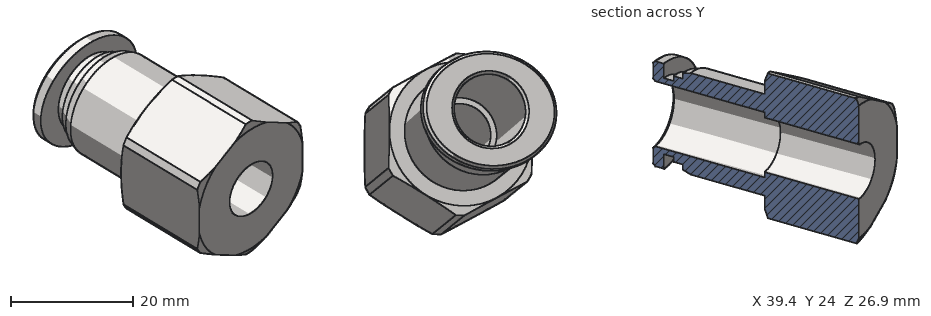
import cadquery as cq

TOTAL_LENGTH = 39.4
RING_END = 2.15
NECK_END = 3.98
COLLAR_END = 5.7
TAPER_END = 7.3
HEX_START = 21.35

RING_HALF_WIDTH = 11.2
RING_HALF_HEIGHT = 9.77
RING_CHAMFER = 0.47

NECK_RADIUS = 7.1
COLLAR_RADIUS = 8.0
TAPER_RADIUS = 8.95
BODY_RADIUS = 9.45

HEX_ACROSS_FLATS = 24.0
HEX_CORNER_DIAMETER = 26.9
FRONT_FACE_RADIUS = 11.98
FRONT_BEVEL_LENGTH = 0.6
REAR_FACE_RADIUS = 12.3
REAR_BEVEL_LENGTH = 0.5

SOCKET_RADIUS = 6.0
SOCKET_DEPTH = HEX_START
MOUTH_CHAMFER = 0.47
PASSAGE_RADIUS = 5.0


def revolve_about_x(points):
    """Revolve a closed (x, radius) outline about the X axis."""
    return cq.Workplane("XY").polyline(points).close().revolve(360, (0, 0, 0), (1, 0, 0))


def make_release_ring():
    """Oval plate with a chamfered outer edge on its front face."""
    ring = cq.Workplane("YZ").ellipse(RING_HALF_WIDTH, RING_HALF_HEIGHT).extrude(RING_END)
    return ring.faces("<X").chamfer(RING_CHAMFER)


def make_sleeve():
    """Stepped round sleeve running from the ring into the hexagon."""
    return revolve_about_x([
        (RING_END, 0),
        (RING_END, NECK_RADIUS),
        (NECK_END, NECK_RADIUS),
        (NECK_END, COLLAR_RADIUS),
        (COLLAR_END, COLLAR_RADIUS),
        (COLLAR_END, TAPER_RADIUS),
        (TAPER_END, BODY_RADIUS),
        (HEX_START, BODY_RADIUS),
        (HEX_START, 0),
    ])


def make_hexagon():
    """Hexagon with flats facing Y, trimmed by a round bevelled envelope."""
    prism = (
        cq.Workplane("YZ", origin=(HEX_START, 0, 0))
        .polygon(6, HEX_ACROSS_FLATS, circumscribed=True)
        .extrude(TOTAL_LENGTH - HEX_START)
    )
    corner_radius = HEX_CORNER_DIAMETER / 2
    envelope = revolve_about_x([
        (HEX_START, 0),
        (HEX_START, FRONT_FACE_RADIUS),
        (HEX_START + FRONT_BEVEL_LENGTH, corner_radius),
        (TOTAL_LENGTH - REAR_BEVEL_LENGTH, corner_radius),
        (TOTAL_LENGTH, REAR_FACE_RADIUS),
        (TOTAL_LENGTH, 0),
    ])
    return prism.intersect(envelope)


def make_bore():
    """Through bore: chamfered mouth, tube socket, then the passage."""
    return revolve_about_x([
        (0, 0),
        (0, SOCKET_RADIUS + MOUTH_CHAMFER),
        (MOUTH_CHAMFER, SOCKET_RADIUS),
        (SOCKET_DEPTH, SOCKET_RADIUS),
        (SOCKET_DEPTH, PASSAGE_RADIUS),
        (TOTAL_LENGTH, PASSAGE_RADIUS),
        (TOTAL_LENGTH, 0),
    ])


result = make_release_ring().union(make_sleeve()).union(make_hexagon()).cut(make_bore())